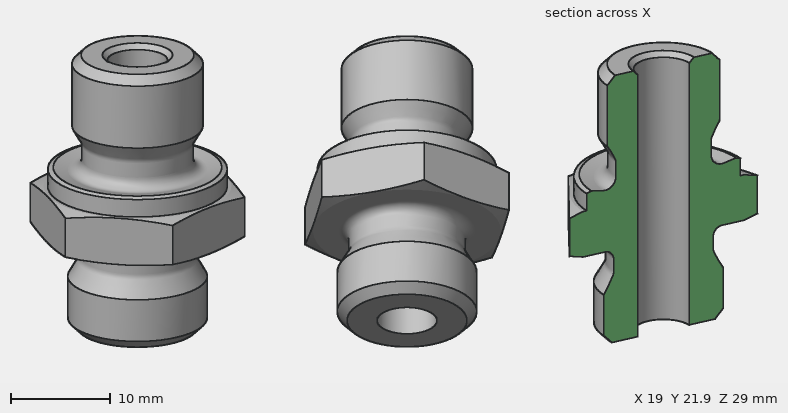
import cadquery as cq
import math

TOTAL_HEIGHT = 29.0
HEX_BOTTOM = 10.0
HEX_TOP = 15.0
COLLAR_TOP = 17.02

HEX_ACROSS_FLATS = 19.0
HEX_FACE_DIAMETER = 18.85
HEX_CHAMFER_ANGLE = 15.0

LOWER_DIAMETER = 14.0
LOWER_CHAMFER = 1.0
LOWER_CONE_START = 5.42
LOWER_NECK_DIAMETER = 11.7
LOWER_ROOT_RADIUS = 1.0

UPPER_DIAMETER = 13.17
UPPER_CHAMFER = 0.93
UPPER_CONE_START = 21.45
UPPER_NECK_DIAMETER = 11.2
UPPER_ROOT_RADIUS = 1.2

RUNOUT_ANGLE = 30.0
RUNOUT_RADIUS = 1.0

COLLAR_DIAMETER = 18.0
COLLAR_CHAMFER_WIDTH = 0.55
COLLAR_CHAMFER_HEIGHT = 0.17
DISH_ANGLE = 10.0

BORE_DIAMETER = 6.0
BORE_CHAMFER = 0.52


def runout_points(thread_radius, neck_radius, cone_start, direction):
    """Return the cone end, arc middle and neck start of a thread run-out.

    direction is +1 when the neck lies above the thread and -1 when below.
    """
    angle = math.radians(RUNOUT_ANGLE)
    arc_width = RUNOUT_RADIUS * (1 - math.cos(angle))
    cone_height = (thread_radius - neck_radius - arc_width) / math.tan(angle)
    cone_end_z = cone_start + direction * cone_height
    neck_start_z = cone_end_z + direction * RUNOUT_RADIUS * math.sin(angle)
    middle_r = neck_radius + RUNOUT_RADIUS * (1 - math.cos(angle / 2))
    middle_z = neck_start_z - direction * RUNOUT_RADIUS * math.sin(angle / 2)
    return (neck_radius + arc_width, cone_end_z), (middle_r, middle_z), (neck_radius, neck_start_z)


def lower_end():
    """Threaded end below the hexagon, reaching up to the hexagon top."""
    radius = LOWER_DIAMETER / 2
    neck = LOWER_NECK_DIAMETER / 2
    cone_end, arc_middle, neck_start = runout_points(radius, neck, LOWER_CONE_START, 1)
    root = LOWER_ROOT_RADIUS
    root_middle = (
        neck + root * (1 - math.cos(math.pi / 4)),
        HEX_BOTTOM - root * (1 - math.sin(math.pi / 4)),
    )
    return (
        cq.Workplane("XZ")
        .moveTo(0, 0)
        .lineTo(radius - LOWER_CHAMFER, 0)
        .lineTo(radius, LOWER_CHAMFER)
        .lineTo(radius, LOWER_CONE_START)
        .lineTo(*cone_end)
        .threePointArc(arc_middle, neck_start)
        .lineTo(neck, HEX_BOTTOM - root)
        .threePointArc(root_middle, (neck + root, HEX_BOTTOM))
        .lineTo(neck + root, HEX_TOP)
        .lineTo(0, HEX_TOP)
        .close()
        .revolve(360, (0, 0), (0, 1))
    )


def upper_end():
    """Sealing collar and threaded end, with a core tapering down inside the hexagon."""
    radius = UPPER_DIAMETER / 2
    neck = UPPER_NECK_DIAMETER / 2
    collar = COLLAR_DIAMETER / 2
    rim = collar - COLLAR_CHAMFER_WIDTH
    cone_end, arc_middle, neck_start = runout_points(radius, neck, UPPER_CONE_START, -1)

    dish = math.radians(DISH_ANGLE)
    root = UPPER_ROOT_RADIUS
    root_center_r = neck + root
    dish_inner_r = root_center_r + root * math.sin(dish)
    dish_inner_z = COLLAR_TOP - (rim - dish_inner_r) * math.tan(dish)
    root_center_z = dish_inner_z + root * math.cos(dish)
    root_middle = (
        root_center_r - root * math.cos(math.pi / 4),
        root_center_z - root * math.sin(math.pi / 4),
    )
    return (
        cq.Workplane("XZ")
        .moveTo(0, HEX_BOTTOM)
        .lineTo(neck, HEX_BOTTOM)
        .lineTo(collar, HEX_TOP)
        .lineTo(collar, COLLAR_TOP - COLLAR_CHAMFER_HEIGHT)
        .lineTo(rim, COLLAR_TOP)
        .lineTo(dish_inner_r, dish_inner_z)
        .threePointArc(root_middle, (neck, root_center_z))
        .lineTo(*neck_start)
        .threePointArc(arc_middle, cone_end)
        .lineTo(radius, UPPER_CONE_START)
        .lineTo(radius, TOTAL_HEIGHT - UPPER_CHAMFER)
        .lineTo(radius - UPPER_CHAMFER, TOTAL_HEIGHT)
        .lineTo(0, TOTAL_HEIGHT)
        .close()
        .revolve(360, (0, 0), (0, 1))
    )


def hexagon():
    """Hexagon with flats facing +X and -X and conically chamfered corners."""
    across_corners = HEX_ACROSS_FLATS / math.cos(math.pi / 6)
    prism = (
        cq.Workplane("XY", origin=(0, 0, HEX_BOTTOM))
        .transformed(rotate=(0, 0, 90))
        .polygon(6, across_corners)
        .extrude(HEX_TOP - HEX_BOTTOM)
    )
    face_radius = HEX_FACE_DIAMETER / 2
    middle_z = (HEX_BOTTOM + HEX_TOP) / 2
    cone_width = (HEX_TOP - middle_z) / math.tan(math.radians(HEX_CHAMFER_ANGLE))
    double_cone = (
        cq.Workplane("XZ")
        .moveTo(0, HEX_BOTTOM)
        .lineTo(face_radius, HEX_BOTTOM)
        .lineTo(face_radius + cone_width, middle_z)
        .lineTo(face_radius, HEX_TOP)
        .lineTo(0, HEX_TOP)
        .close()
        .revolve(360, (0, 0), (0, 1))
    )
    return prism.intersect(double_cone)


def bore():
    """Through bore with a chamfered upper mouth."""
    radius = BORE_DIAMETER / 2
    return (
        cq.Workplane("XZ")
        .moveTo(0, 0)
        .lineTo(radius, 0)
        .lineTo(radius, TOTAL_HEIGHT - BORE_CHAMFER)
        .lineTo(radius + BORE_CHAMFER, TOTAL_HEIGHT)
        .lineTo(0, TOTAL_HEIGHT)
        .close()
        .revolve(360, (0, 0), (0, 1))
    )


result = hexagon().union(lower_end()).union(upper_end()).cut(bore())